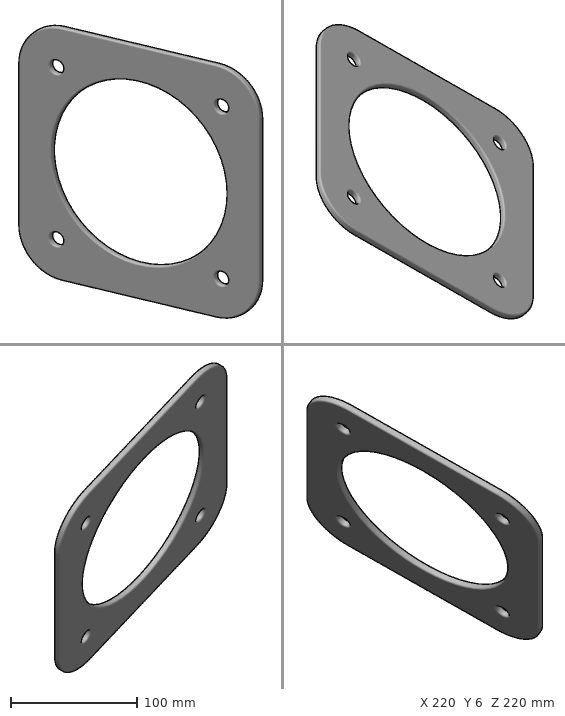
import cadquery as cq

side = 220.0
thickness = 6.0
corner_radius = 40.0

bore_diameter = 159.0
bolt_hole_diameter = 12.0
bolt_spacing = 150.0

edge_radius = 1.5


def front_to_back(sketch):
    """Extrude an XZ sketch through the full thickness, centred on Y = 0."""
    return sketch.extrude(thickness).translate((0, thickness / 2, 0))


def rounded_plate():
    """Square plate with rounded corners."""
    plate = front_to_back(cq.Workplane("XZ").rect(side, side))
    return plate.edges("|Y").fillet(corner_radius)


def bore():
    """Cutter for the large central opening."""
    return front_to_back(cq.Workplane("XZ").circle(bore_diameter / 2))


def bolt_holes():
    """Cutters for the four holes on a square pattern."""
    centres = cq.Workplane("XZ").rect(bolt_spacing, bolt_spacing, forConstruction=True).vertices()
    return front_to_back(centres.circle(bolt_hole_diameter / 2))


def round_rims(plate):
    """Round the outer edge and the mouth of every opening on both flat faces."""
    return plate.faces("<Y or >Y").edges().fillet(edge_radius)


result = round_rims(rounded_plate().cut(bore()).cut(bolt_holes()))